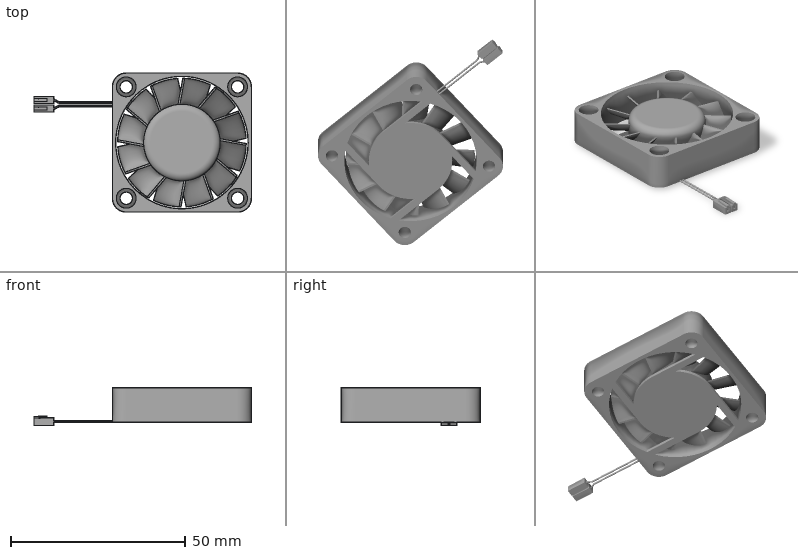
import cadquery as cq
import math

frame_side = 40.0
frame_height = 10.0
corner_radius = 4.0
duct_diameter = 38.0
screw_pitch = 32.0
screw_hole_diameter = 3.5
counterbore_diameter = 5.7
counterbore_depth = 3.5

base_radius = 12.0
base_thickness = 1.0
strut_width = 2.0
strut_count = 4

hub_diameter = 22.0
hub_rim_radius = 2.0
hub_bottom = base_thickness
blade_count = 12
first_blade_angle = 16.5
blade_tip_radius = 18.5
blade_top = 7.9
blade_bottom = 2.6
blade_thickness = 0.55
blade_sag = 0.95
blade_root_radius = 8.75
blade_root_width = 7.1
blade_end_radius = frame_side / 2
blade_end_width = 8.4

wire_diameter = 0.5
wire_pitch = 1.0
wire_height = wire_diameter / 2
lead_y = base_radius - strut_width / 2
bend_x = -35.3
bend_clearance = 0.1
connector_front_x = -42.5
connector_length = 5.7
connector_width = 2.05
connector_pitch = 2.45
connector_bottom = -0.95
deck_front_height = 1.2
deck_rear_height = 1.4
latch_length = 3.75
latch_width = 0.9
latch_root_height = 1.05
latch_front_height = 1.7
latch_rear_height = 1.9
latch_tip_thickness = 0.3
socket_side = 0.9
socket_depth = 2.5

connector_rear_x = connector_front_x + connector_length
socket_floor_x = connector_front_x + socket_depth


def cylinder(diameter, bottom, top):
    """Upright cylinder on the fan axis."""
    return cq.Workplane("XY").workplane(offset=bottom).circle(diameter / 2).extrude(top - bottom)


def make_frame():
    plate = (
        cq.Workplane("XY")
        .rect(frame_side, frame_side)
        .extrude(frame_height)
        .edges("|Z")
        .fillet(corner_radius)
        .faces(">Z")
        .workplane()
        .rect(screw_pitch, screw_pitch, forConstruction=True)
        .vertices()
        .cboreHole(screw_hole_diameter, counterbore_diameter, counterbore_depth)
    )
    frame = plate.cut(cylinder(duct_diameter, 0, frame_height))
    return frame.union(make_motor_base())


def make_motor_base():
    """Disc with struts whose outer edges are tangent to it, each running out to the duct wall."""
    base = cylinder(2 * base_radius, 0, base_thickness)
    strut_length = (frame_side - corner_radius) / 2
    strut = cq.Workplane("XY").box(strut_length, strut_width, base_thickness, centered=(False, True, False))
    strut = strut.translate((-strut_length, lead_y, 0))
    for i in range(strut_count):
        base = base.union(strut.rotate((0, 0, 0), (0, 0, 1), i * 360 / strut_count))
    return base


def blade_section(radius, width):
    """Curved strip sloping from the leading edge at the top to the trailing edge at the bottom."""
    lead = width / 2
    trail = -width / 2
    slope_length = math.hypot(width - blade_thickness, blade_top - blade_bottom)
    mid_y = blade_thickness / 2 + blade_sag * (blade_top - blade_bottom) / slope_length
    mid_z = (blade_top + blade_bottom) / 2 - blade_sag * (width - blade_thickness) / slope_length
    return (
        cq.Workplane("YZ", origin=(radius, 0, 0))
        .moveTo(lead, blade_top)
        .threePointArc((mid_y, mid_z), (trail + blade_thickness, blade_bottom))
        .lineTo(trail, blade_bottom)
        .threePointArc((mid_y - blade_thickness, mid_z), (lead - blade_thickness, blade_top))
        .close()
        .val()
    )


def make_blade():
    root = blade_section(blade_root_radius, blade_root_width)
    end = blade_section(blade_end_radius, blade_end_width)
    blade = cq.Workplane(cq.Solid.makeLoft([root, end], True))
    return blade.intersect(cylinder(2 * blade_tip_radius, 0, frame_height))


def make_impeller():
    impeller = cylinder(hub_diameter, hub_bottom, frame_height).faces(">Z").edges().fillet(hub_rim_radius)
    blade = make_blade()
    for i in range(blade_count):
        angle = first_blade_angle + i * 360 / blade_count
        impeller = impeller.union(blade.rotate((0, 0, 0), (0, 0, 1), angle))
    return impeller


def make_wire(side):
    """Wire from the frame's side face, bending twice, through the connector's rear to the socket floor."""
    run_y = lead_y + side * wire_pitch / 2
    end_y = lead_y + side * connector_pitch / 2
    path = (
        cq.Workplane("XY", origin=(0, 0, wire_height))
        .moveTo(-frame_side / 2, run_y)
        .lineTo(bend_x, run_y)
        .lineTo(connector_rear_x + bend_clearance, end_y)
        .lineTo(socket_floor_x, end_y)
    )
    return (
        cq.Workplane("YZ", origin=(-frame_side / 2, run_y, wire_height))
        .circle(wire_diameter / 2)
        .sweep(path, transition="right")
    )


def side_prism(points, width, y):
    """Outline in the XZ plane, extruded to a width centred on y."""
    return cq.Workplane("XZ", origin=(0, y, 0)).polyline(points).close().extrude(width / 2, both=True)


def make_connector(side):
    """Connector shell with a sloping deck, a latch tongue, and a wire hole behind a square socket."""
    y = lead_y + side * connector_pitch / 2
    latch_rear_x = connector_front_x + latch_length
    shell = side_prism(
        [
            (connector_front_x, connector_bottom),
            (connector_rear_x, connector_bottom),
            (connector_rear_x, deck_rear_height),
            (connector_front_x, deck_front_height),
        ],
        connector_width,
        y,
    )
    latch = side_prism(
        [
            (connector_front_x, latch_root_height),
            (latch_rear_x, latch_rear_height - latch_tip_thickness),
            (latch_rear_x, latch_rear_height),
            (connector_front_x, latch_front_height),
        ],
        latch_width,
        y,
    )
    socket = (
        cq.Workplane("YZ", origin=(connector_front_x, y, wire_height))
        .rect(socket_side, socket_side)
        .extrude(socket_depth)
    )
    wire_hole = (
        cq.Workplane("YZ", origin=(socket_floor_x, y, wire_height))
        .circle(wire_diameter / 2)
        .extrude(connector_rear_x - socket_floor_x)
    )
    return shell.union(latch).cut(socket).cut(wire_hole)


frame = make_frame()
impeller = make_impeller()
wires = [make_wire(side) for side in (-1, 1)]
connectors = [make_connector(side) for side in (-1, 1)]

result = cq.Compound.makeCompound(
    [frame.val(), impeller.val()] + [body.val() for body in wires + connectors]
)